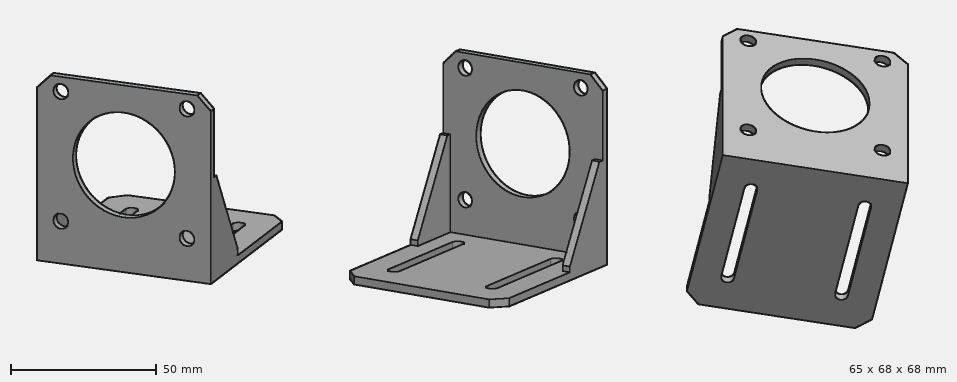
import cadquery as cq

width = 65.0
length = 68.0
height = 68.0
thickness = 3.0
corner_chamfer = 5.0

motor_axis_height = 39.0
motor_opening_diameter = 38.1
bolt_hole_diameter = 5.5
bolt_spacing = 47.1

slot_spacing = 40.0
slot_width = 4.5
slot_length = 45.3
slot_front_end = 11.0

gusset_length = 24.0
gusset_height = 38.0
gusset_flat_edge = 5.0


def chamfered_plate(plate_length):
    """Plate centred on X, from Y = 0, with its two far corners cut off."""
    return (
        cq.Workplane("XY")
        .box(width, plate_length, thickness, centered=(True, False, False))
        .edges("|Z and >Y")
        .chamfer(corner_chamfer)
    )


def base_plate():
    slots = (
        cq.Workplane("XY")
        .center(0, slot_front_end + slot_length / 2)
        .rarray(slot_spacing, 0.7, 2, 1)
        .slot2D(slot_length, slot_width, 90)
        .extrude(thickness)
    )
    return chamfered_plate(length).cut(slots)


def upright_plate():
    plate = (
        chamfered_plate(height)
        .rotate((0, 0, 0), (1, 0, 0), 90)
        .translate((0, thickness, 0))
    )
    face = cq.Workplane("XZ").center(0, motor_axis_height)
    opening = face.circle(motor_opening_diameter / 2).extrude(-thickness)
    bolt_holes = (
        face.rarray(bolt_spacing, bolt_spacing, 2, 2)
        .circle(bolt_hole_diameter / 2)
        .extrude(-thickness)
    )
    return plate.cut(opening).cut(bolt_holes)


def gusset(left_face):
    """Side web whose -X face lies at the given X position."""
    return (
        cq.Workplane("YZ", origin=(left_face, 0, 0))
        .polyline([
            (0, 0),
            (gusset_length, 0),
            (gusset_length, gusset_flat_edge),
            (gusset_flat_edge, gusset_height),
            (0, gusset_height),
        ])
        .close()
        .extrude(thickness)
    )


bracket = base_plate().union(upright_plate())
for left_face in (-width / 2, width / 2 - thickness):
    bracket = bracket.union(gusset(left_face))

result = bracket